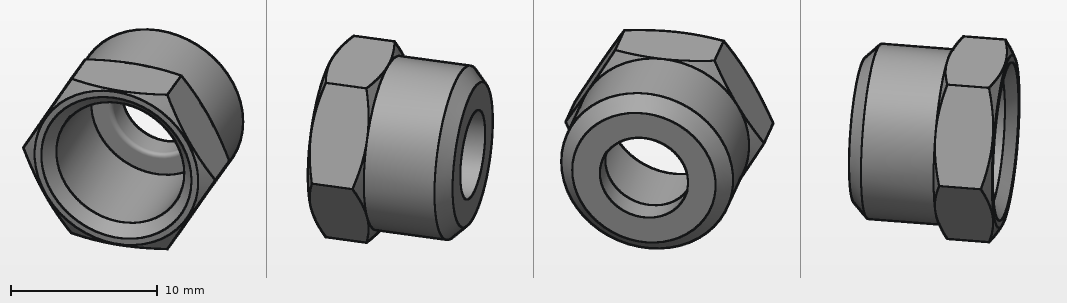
import cadquery as cq
import math

across_corners = 13.86
across_flats = across_corners * math.cos(math.radians(30))
total_length = 10.0
head_length = 4.0

shank_radius = across_flats / 2
shank_chamfer = 1.0

corner_radius = across_corners / 2
front_face_radius = 5.9
rear_face_radius = shank_radius
chamfer_slope = math.tan(math.radians(30))

mouth_radius = 5.42
bore_radius = 4.62
mouth_depth = mouth_radius - bore_radius
bore_depth = 8.0
hole_radius = 3.08
hole_edge_round = 0.3


def revolve_about_y(profile):
    """Turn a closed (radius, Y) profile about the Y axis."""
    return profile.close().revolve(360, (0, 0, 0), (0, 1, 0))


def hex_head():
    """Hexagonal head with its corners turned conical at both ends."""
    prism = (
        cq.Workplane("XZ")
        .polygon(6, across_corners)
        .extrude(-head_length)
    )
    front_drop = (corner_radius - front_face_radius) * chamfer_slope
    rear_drop = (corner_radius - rear_face_radius) * chamfer_slope
    envelope = revolve_about_y(
        cq.Workplane("XY")
        .lineTo(front_face_radius, 0)
        .lineTo(corner_radius, front_drop)
        .lineTo(corner_radius, head_length - rear_drop)
        .lineTo(rear_face_radius, head_length)
        .lineTo(0, head_length)
    )
    return prism.intersect(envelope)


def shank():
    """Round shank with a chamfered free end."""
    return revolve_about_y(
        cq.Workplane("XY")
        .moveTo(0, head_length)
        .lineTo(shank_radius, head_length)
        .lineTo(shank_radius, total_length - shank_chamfer)
        .lineTo(shank_radius - shank_chamfer, total_length)
        .lineTo(0, total_length)
    )


def stepped_bore():
    """Conical mouth, wide bore and a through hole with a rounded inner edge."""
    return revolve_about_y(
        cq.Workplane("XY")
        .lineTo(mouth_radius, 0)
        .lineTo(bore_radius, mouth_depth)
        .lineTo(bore_radius, bore_depth)
        .lineTo(hole_radius + hole_edge_round, bore_depth)
        .radiusArc((hole_radius, bore_depth + hole_edge_round), hole_edge_round)
        .lineTo(hole_radius, total_length)
        .lineTo(0, total_length)
    )


result = hex_head().union(shank()).cut(stepped_bore())